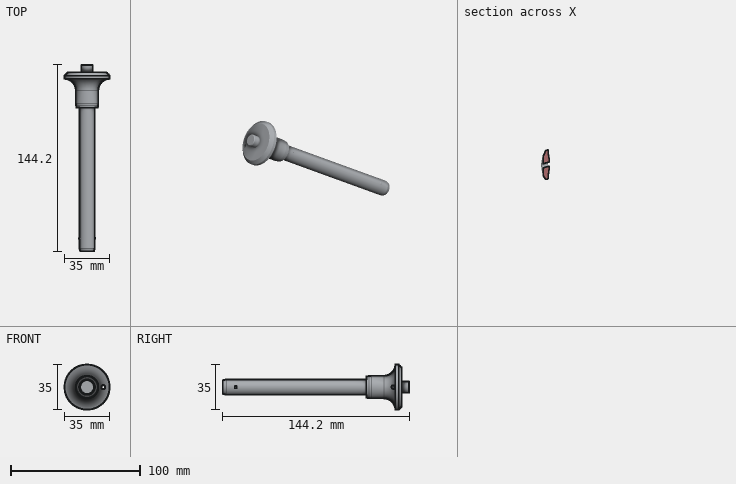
import cadquery as cq
import math


shank_diameter = 12.0
shank_length = 111.0
tip_taper_length = 2.6
tip_taper_angle = 15.0

grip_length = 100.9
ball_diameter = 3.5
ball_protrusion = 0.25

disc_diameter = 35.0
disc_rim_width = 2.6
disc_chamfer_height = 2.6
disc_chamfer_depth = 2.6
collar_diameter = 17.6
collar_length = 10.0
shoulder_diameter = 16.6
taper_break_diameter = 17.2
outer_taper_length = 1.75
inner_taper_length = 1.75

button_diameter = 9.0
button_length = 5.8
button_chamfer = 0.5

lanyard_hole_diameter = 3.0
lanyard_hole_offset = 12.5

shank_radius = shank_diameter / 2
tip_radius = shank_radius - tip_taper_length * math.tan(math.radians(tip_taper_angle))
shoulder_radius = shoulder_diameter / 2
taper_break_radius = taper_break_diameter / 2
collar_radius = collar_diameter / 2
disc_radius = disc_diameter / 2
button_radius = button_diameter / 2
flare_radius = disc_radius - collar_radius

tip_y = -shank_length
taper_start_y = tip_y + tip_taper_length
collar_start_y = outer_taper_length + inner_taper_length
flare_start_y = collar_start_y + collar_length
rim_start_y = flare_start_y + flare_radius
rim_end_y = rim_start_y + disc_rim_width
disc_end_y = rim_end_y + disc_chamfer_height
button_end_y = disc_end_y + button_length


def make_body():
    """Shank, handle and button as one half profile turned about the Y axis."""
    flare_mid = (
        disc_radius - flare_radius * math.cos(math.radians(45)),
        flare_start_y + flare_radius * math.sin(math.radians(45)),
    )
    profile = (
        cq.Workplane("XY")
        .moveTo(0, tip_y)
        .lineTo(tip_radius, tip_y)
        .lineTo(shank_radius, taper_start_y)
        .lineTo(shank_radius, 0)
        .lineTo(shoulder_radius, 0)
        .lineTo(taper_break_radius, outer_taper_length)
        .lineTo(collar_radius, collar_start_y)
        .lineTo(collar_radius, flare_start_y)
        .threePointArc(flare_mid, (disc_radius, rim_start_y))
        .lineTo(disc_radius, rim_end_y)
        .lineTo(disc_radius - disc_chamfer_depth, disc_end_y)
        .lineTo(button_radius, disc_end_y)
        .lineTo(button_radius, button_end_y - button_chamfer)
        .lineTo(button_radius - button_chamfer, button_end_y)
        .lineTo(0, button_end_y)
        .close()
    )
    return profile.revolve(360, (0, 0, 0), (0, 1, 0))


def add_balls(body):
    """A locking ball standing out of the shank on the +X and -X sides."""
    ball_radius = ball_diameter / 2
    ball_offset = shank_radius + ball_protrusion - ball_radius
    for side in (-1, 1):
        ball = cq.Workplane("XY").sphere(ball_radius)
        body = body.union(ball.translate((side * ball_offset, -grip_length, 0)))
    return body


def cut_lanyard_hole(body):
    """Round hole through the disc, parallel to the pin axis."""
    hole = (
        cq.Workplane("XZ", origin=(lanyard_hole_offset, flare_start_y, 0))
        .circle(lanyard_hole_diameter / 2)
        .extrude(flare_start_y - disc_end_y)
    )
    return body.cut(hole)


result = cut_lanyard_hole(add_balls(make_body()))